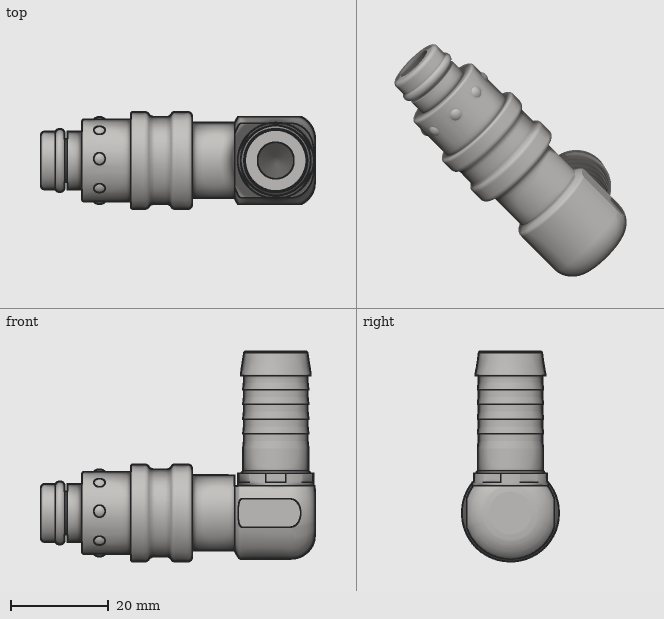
import cadquery as cq
import math

overall_length = 56.3
top_z = 33.15

bore_diameter = 7.5
drill_point_angle = 118.0
inlet_bore_depth = 39.75
tail_bore_depth = 27.6

nose_radius = 11.95 / 2
nose_fillet = 0.85
groove_radius = 9.0 / 2
groove_start = 2.9
groove_end = 5.45
ring_outer_radius = 13.0 / 2

sleeve_start = 8.45
sleeve_radius = 16.95 / 2
edge_fillet = 0.5
bump_count = 8
bump_turn = -2.5
bump_x = 12.05
bump_sphere_radius = 1.6
bump_height = 0.5

collar_radius = 20.0 / 2
waist_radius = 18.0 / 2
front_collar_start = 18.45
front_collar_end = 21.2
waist_start = 23.1
waist_end = 26.0
rear_collar_start = 27.6
rear_collar_end = 31.1
rear_collar_fillet = 1.0
stem_radius = 15.6 / 2

block_start = 39.75
block_radius = 9.45
block_half_width = 9.0
block_top_z = 5.6
block_cone_end = 40.5
block_cone_radius = 9.0
block_round_end = 41.2
block_back_fillet = 5.05

tail_x = 48.2
hex_corner_radius = 15.6 / 2
hex_across_flats = 15.05
hex_flat_start_z = 6.25
hex_top_z = 8.15
root_flare = 0.35
root_flare_height = 0.5
tail_radius = 13.5 / 2
tail_root_radius = 6.6
tooth_count = 5
tooth_first_z = 13.25
tooth_last_z = 25.3
tooth_pitch = (tooth_last_z - tooth_first_z) / (tooth_count - 1)
barb_base_z = 28.15
barb_edge_z = 28.5
barb_radius = 7.2
tip_radius = 6.55
tip_chamfer = 0.3


def s_curve(profile, start, end):
    """Join two level stretches by two equal tangent arcs."""
    (x0, r0), (x1, r1) = start, end
    half_run = (x1 - x0) / 2
    half_rise = (r1 - r0) / 2
    radius = (half_run ** 2 + half_rise ** 2) / (2 * abs(half_rise))
    turn = math.asin(half_run / radius) / 2
    along = radius * math.sin(turn)
    across = math.copysign(radius * (1 - math.cos(turn)), half_rise)
    middle = (x0 + half_run, r0 + half_rise)
    profile = profile.threePointArc((x0 + along, r0 + across), middle)
    return profile.threePointArc((x1 - along, r1 - across), end)


def cylinder_x(start, end, radius):
    return cq.Workplane("YZ").workplane(offset=start).circle(radius).extrude(end - start)


def make_nose():
    nose = cylinder_x(0, sleeve_start, nose_radius).faces("<X").edges().fillet(nose_fillet)
    groove = cylinder_x(groove_start, groove_end, nose_radius)
    groove = groove.cut(cylinder_x(groove_start, groove_end, groove_radius))
    return nose.cut(groove)


def make_sleeve():
    sleeve = cylinder_x(sleeve_start, front_collar_start, sleeve_radius)
    sleeve = sleeve.faces("<X").edges().fillet(edge_fillet)
    bump_center = sleeve_radius + bump_height - bump_sphere_radius
    for i in range(bump_count):
        angle = math.radians(bump_turn + 360 * i / bump_count)
        place = (bump_x, bump_center * math.cos(angle), bump_center * math.sin(angle))
        sleeve = sleeve.union(cq.Workplane("XY").sphere(bump_sphere_radius).translate(place))
    return sleeve


def make_grip():
    profile = (
        cq.Workplane("XY")
        .moveTo(front_collar_start, 0)
        .lineTo(front_collar_start, collar_radius)
        .lineTo(front_collar_end, collar_radius)
    )
    profile = s_curve(profile, (front_collar_end, collar_radius), (waist_start, waist_radius))
    profile = profile.lineTo(waist_end, waist_radius)
    profile = s_curve(profile, (waist_end, waist_radius), (rear_collar_start, collar_radius))
    profile = profile.lineTo(rear_collar_end, collar_radius).lineTo(rear_collar_end, 0).close()
    grip = profile.revolve(360, (0, 0, 0), (1, 0, 0))
    grip = grip.faces("<X").edges().fillet(edge_fillet)
    grip = grip.faces(">X").edges().fillet(rear_collar_fillet)
    return grip.union(cylinder_x(rear_collar_end, block_start, stem_radius))


def make_block():
    round_run = block_round_end - block_cone_end
    round_rise = block_radius - block_cone_radius
    arc_radius = (round_run ** 2 + round_rise ** 2) / (2 * round_rise)
    half_turn = math.asin(round_run / arc_radius) / 2
    arc_middle = (
        block_round_end - arc_radius * math.sin(half_turn),
        block_radius - arc_radius * (1 - math.cos(half_turn)),
    )
    block = (
        cq.Workplane("XY")
        .moveTo(block_start, 0)
        .lineTo(block_start, stem_radius)
        .lineTo(block_cone_end, block_cone_radius)
        .threePointArc(arc_middle, (block_round_end, block_radius))
        .lineTo(overall_length, block_radius)
        .lineTo(overall_length, 0)
        .close()
        .revolve(360, (0, 0, 0), (1, 0, 0))
    )
    block = block.faces(">X").edges().fillet(block_back_fillet)
    height = block_top_z + block_radius
    envelope = cq.Workplane("XY").box(
        overall_length - block_start, 2 * block_half_width, height, centered=(False, True, False)
    )
    return block.intersect(envelope.translate((block_start, 0, -block_radius)))


def make_hex_collar():
    """Round collar with six flats cut into its upper part."""
    base = cq.Workplane("XY").workplane(offset=block_top_z).circle(hex_corner_radius)
    base = base.extrude(hex_flat_start_z - block_top_z)
    flat_height = hex_top_z - hex_flat_start_z
    plane = cq.Workplane("XY").workplane(offset=hex_flat_start_z)
    hexagon = plane.polygon(6, hex_across_flats, circumscribed=True).extrude(flat_height)
    hexagon = hexagon.rotate((0, 0, 0), (0, 0, 1), 30)
    rounded_hexagon = hexagon.intersect(plane.circle(hex_corner_radius).extrude(flat_height))
    return base.union(rounded_hexagon).translate((tail_x, 0, 0))


def make_tail():
    points = [
        (0, hex_top_z),
        (tail_radius + root_flare, hex_top_z),
        (tail_radius, hex_top_z + root_flare_height),
    ]
    for i in range(tooth_count):
        tooth_z = tooth_first_z + i * tooth_pitch
        if i > 0:
            points.append((tail_root_radius, tooth_z))
        points.append((tail_radius, tooth_z))
        points.append((tail_root_radius, tooth_z + tooth_pitch / 2))
    points += [
        (tail_root_radius, barb_base_z),
        (barb_radius, barb_base_z),
        (barb_radius, barb_edge_z),
        (tip_radius, top_z - tip_chamfer),
        (tip_radius - tip_chamfer, top_z),
        (0, top_z),
    ]
    tail = cq.Workplane("XZ").polyline(points).close().revolve(360, (0, 0, 0), (0, 1, 0))
    return tail.translate((tail_x, 0, 0))


def make_bore(depth):
    """Drilled hole cutter along +Z from the origin, with its conical point."""
    radius = bore_diameter / 2
    point_length = radius / math.tan(math.radians(drill_point_angle / 2))
    points = [(0, 0), (radius, 0), (radius, depth), (0, depth + point_length)]
    return cq.Workplane("XZ").polyline(points).close().revolve(360, (0, 0, 0), (0, 1, 0))


def make_fitting():
    fitting = make_nose().union(make_sleeve()).union(make_grip()).union(make_block())
    fitting = fitting.union(make_hex_collar()).union(make_tail())
    inlet_bore = make_bore(inlet_bore_depth).rotate((0, 0, 0), (0, 1, 0), 90)
    tail_bore = make_bore(tail_bore_depth).rotate((0, 0, 0), (1, 0, 0), 180).translate((tail_x, 0, top_z))
    return fitting.cut(inlet_bore).cut(tail_bore)


def make_seal_ring():
    """O-ring resting on the groove floor against the front groove wall."""
    section_radius = (ring_outer_radius - groove_radius) / 2
    center = (groove_start + section_radius, groove_radius + section_radius)
    section = cq.Workplane("XY").center(*center).circle(section_radius)
    return section.revolve(360, (-center[0], -center[1], 0), (0.55 - center[0], -center[1], 0))


fitting = make_fitting()
seal_ring = make_seal_ring()
result = cq.Compound.makeCompound([fitting.solids().val(), seal_ring.val()])